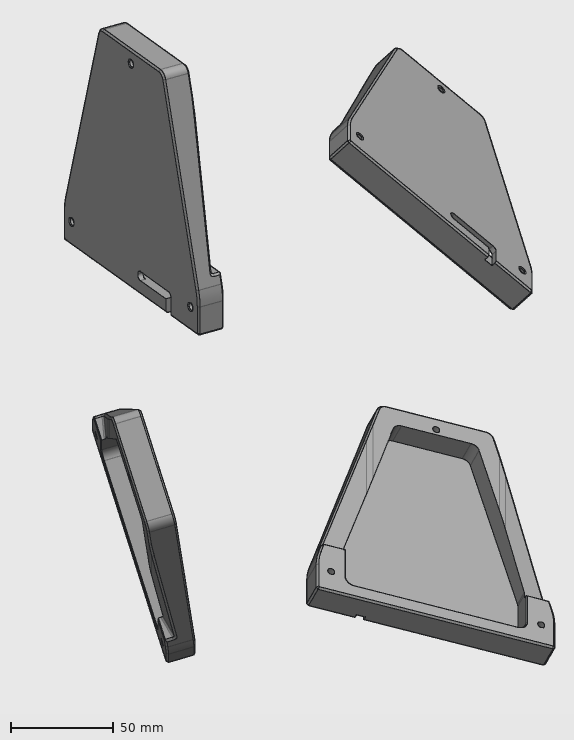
import cadquery as cq
import math

width = 125.0
thickness = 15.0
height = 130.0

half_width = width / 2
top_half_width = 29.6
shoulder_z = 20.2
top_corner_radius = 5.0
shoulder_radius = 29.9

front_chamfer = 1.0
bottom_corner_chamfer = 1.0
back_chamfer = 1.0

ledge_z = 29.8
relief_start_x = 34.7
relief_slope = 0.214
relief_blend_radius = 15.6
ledge_fillet = 1.0

front_wall = 3.0
pocket_half_width = 47.3
side_wall = 10.9
top_wall = 10.9
pocket_corner_radius = 4.4
inner_rim_chamfer = 0.5

slot_left_x = 6.5
slot_right_x = 37.2
slot_bottom_z = 7.8
slot_height = 5.0
slot_corner_radius = 2.3
notch_width = 4.8

hole_inset = 7.5
hole_bottom_z = 12.9
hole_diameter = 3.6
hole_chamfer = 0.5
sink_angle = 45

taper = (half_width - top_half_width) / (height - shoulder_z)


def xz_plane(y):
    """Workplane at depth y with local axes X and Z; a negative extrusion runs toward +Y."""
    return cq.Workplane(cq.Plane(origin=(0, y, 0), xDir=(1, 0, 0), normal=(0, -1, 0)))


def make_body():
    """Tapered plate with rounded top corners and softly rounded shoulders."""
    outline = [
        (-half_width, 0),
        (half_width, 0),
        (half_width, shoulder_z),
        (top_half_width, height),
        (-top_half_width, height),
        (-half_width, shoulder_z),
    ]
    body = xz_plane(0).polyline(outline).close().extrude(-thickness)
    upper_box = cq.selectors.BoxSelector((-width, 0, height / 2), (width, thickness, 2 * height))
    shoulder_box = cq.selectors.BoxSelector((-width, 0, shoulder_z / 2), (width, thickness, height / 2))
    body = body.edges("|Y").edges(upper_box).fillet(top_corner_radius)
    body = body.edges("|Y").edges(shoulder_box).fillet(shoulder_radius)
    return body.faces("<Z").edges("|Y").chamfer(bottom_corner_chamfer)


def make_relief():
    """Wedge that thins the right side of the back above the ledge."""
    outer_x = width
    outer_y = 2 * thickness
    blend_angle = math.atan(relief_slope)
    tangent = relief_blend_radius * math.tan(blend_angle / 2)
    blend_start = (relief_start_x - tangent, thickness)
    blend_middle = (
        blend_start[0] + relief_blend_radius * math.sin(blend_angle / 2),
        thickness - relief_blend_radius * (1 - math.cos(blend_angle / 2)),
    )
    blend_end = (
        relief_start_x + tangent * math.cos(blend_angle),
        thickness - tangent * math.sin(blend_angle),
    )
    wedge = (
        cq.Workplane("XY", origin=(0, 0, ledge_z))
        .moveTo(*blend_start)
        .threePointArc(blend_middle, blend_end)
        .lineTo(outer_x, thickness - relief_slope * (outer_x - relief_start_x))
        .lineTo(outer_x, outer_y)
        .lineTo(blend_start[0], outer_y)
        .close()
        .extrude(height)
    )
    middle_x = (relief_start_x + outer_x) / 2
    floor_point = (middle_x, thickness - relief_slope * (middle_x - relief_start_x), ledge_z)
    return wedge.edges(cq.selectors.NearestToPointSelector(floor_point)).fillet(ledge_fillet)


def distance_from_outline(edge):
    """How far inside the side, top and bottom walls the middle of an edge lies."""
    middle = edge.positionAt(0.5)
    slanted_x = half_width - (middle.z - shoulder_z) * taper
    side_gap = min(half_width, slanted_x) - abs(middle.x)
    return min(side_gap, middle.z, height - middle.z)


def chamfer_outer_rim(body):
    """Chamfer the outer rim of the back, following the ledges and the sloping reliefs."""
    back_edges = [edge for edge in body.edges().vals() if edge.BoundingBox().ymin > thickness / 2]
    rim = [edge for edge in back_edges if distance_from_outline(edge) < back_chamfer]
    return body.newObject(rim).chamfer(back_chamfer)


def chamfer_inner_rim(body):
    """Lightly chamfer the back edges of the ledges and of the pocket mouth below them."""
    back_edges = body.faces(">Y").edges().vals()
    low_edges = [edge for edge in back_edges if edge.Center().z < ledge_z + ledge_fillet]
    rim = [edge for edge in low_edges if distance_from_outline(edge) > 2 * back_chamfer]
    return body.newObject(rim).chamfer(inner_rim_chamfer)


def make_pocket():
    """Pocket with rounded corners, straight-sided below and tapering parallel to the outline above."""
    lean = math.hypot(1, taper)
    slant_half_width = half_width + shoulder_z * taper - side_wall * lean
    pocket_top_z = height - top_wall
    bend_z = (slant_half_width - pocket_half_width) / taper
    pocket_top_half_width = slant_half_width - pocket_top_z * taper
    outline = [
        (-pocket_half_width, slot_bottom_z),
        (pocket_half_width, slot_bottom_z),
        (pocket_half_width, bend_z),
        (pocket_top_half_width, pocket_top_z),
        (-pocket_top_half_width, pocket_top_z),
        (-pocket_half_width, bend_z),
    ]
    pocket = xz_plane(front_wall).polyline(outline).close().extrude(-thickness)
    return pocket.edges("|Y").fillet(pocket_corner_radius)


def make_slot():
    """Rounded slot through the front wall with a notch from its right end down to the bottom edge."""
    slot = (
        xz_plane(0)
        .moveTo((slot_left_x + slot_right_x) / 2, slot_bottom_z + slot_height / 2)
        .rect(slot_right_x - slot_left_x, slot_height)
        .extrude(-front_wall)
        .edges("|Y")
        .fillet(slot_corner_radius)
    )
    notch_top_z = slot_bottom_z + slot_height / 2
    notch = (
        xz_plane(0)
        .moveTo(slot_right_x - notch_width / 2, notch_top_z / 2)
        .rect(notch_width, notch_top_z)
        .extrude(-front_wall)
    )
    return slot.union(notch)


def make_screw_holes():
    """Three through holes, each lightly countersunk at the front."""
    side_x = half_width - hole_inset
    centers = [(0, height - hole_inset), (side_x, hole_bottom_z), (-side_x, hole_bottom_z)]
    rim_radius = hole_diameter / 2 + hole_chamfer
    holes = xz_plane(0).pushPoints(centers).circle(hole_diameter / 2).extrude(-thickness)
    sinks = xz_plane(0).pushPoints(centers).circle(rim_radius).extrude(-hole_chamfer, taper=sink_angle)
    return holes.union(sinks)


body = make_body()
relief = make_relief()
body = body.cut(relief).cut(relief.mirror("YZ"))
body = body.faces("<Y").edges().chamfer(front_chamfer)
body = chamfer_outer_rim(body)
body = body.cut(make_pocket())
body = chamfer_inner_rim(body)
body = body.cut(make_slot())
result = body.cut(make_screw_holes())